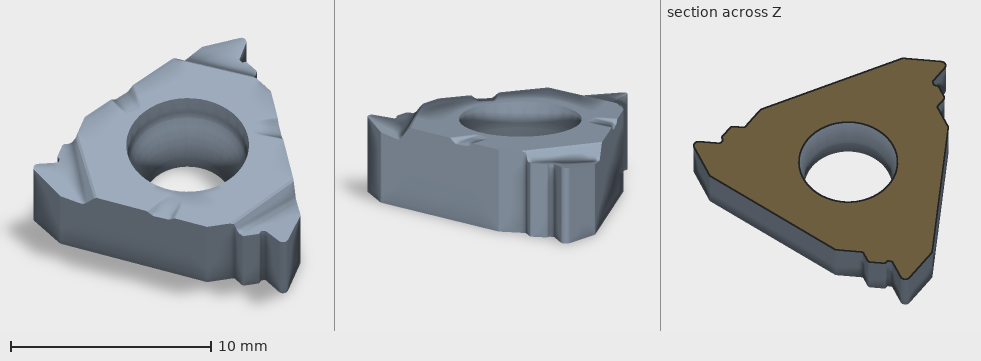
import math

import cadquery as cq

inradius = 9.525 / 2
thickness = 4.27
tip_count = 3
tip_pitch = 360 / tip_count

flank_angle = math.radians(60)
flank_tan = math.tan(flank_angle)
tip_crest_y = 6.905
outer_flank_reach = 6.675
crest_width = 0.31
relief_y = 5.87
shelf_y = 6.035
shelf_start_x = -2.49
shelf_end_x = -1.64
heel_y = 5.46

crest_radius = 0.26
relief_radius = 0.12
relief_lip_radius = 0.05
shelf_lip_radius = 0.13
shelf_radius = 0.15
heel_radius = 0.1
corner_radius = 0.2

mouth_radius = 3.07
step_radius = 2.97
step_depth = 1.0
seat_radius = 2.89
seat_depth = 1.28
bore_radius = 4.4 / 2
step_bulge = 0.01
bore_depth = 3.54

valley_x = 5.69
valley_depth = 0.61
rake_slope = 0.127
wall_angle = 55
wall_tan = math.tan(math.radians(wall_angle))
valley_radius = 0.3
groove_pitch = 4.5
groove_yaw = 1.2
groove_length = 12
groove_reach = 4
wall_break_width = 0.12
wall_break_depth = 0.08

notch_end = (-3.46, -0.565)
notch_yaw = -14
notch_ramp = 10
notch_floor_width = 0.83
notch_wall_angle = 38
notch_floor_radius = 0.28
notch_rim_radius = 0.2
notch_length = 2.5
notch_height = 0.8
edge_margin = 0.05


def turned(shape, turns):
    """The shape turned clockwise about the hole axis by a number of tip pitches."""
    return shape.rotate((0, 0, 0), (0, 0, 1), -tip_pitch * turns)


def tip_corners():
    """Corners (x, y, rounding radius) of one third of the outline, clockwise."""
    side_x = -inradius
    root_y = (outer_flank_reach - inradius * math.sin(flank_angle)) / math.cos(flank_angle)
    crest_left_x = side_x + (tip_crest_y - root_y) / flank_tan
    crest_right_x = crest_left_x + crest_width
    relief_left_x = crest_right_x + (tip_crest_y - relief_y) / flank_tan
    relief_right_x = shelf_start_x - (shelf_y - relief_y) / flank_tan
    heel_start_x = shelf_end_x + (shelf_y - heel_y) / flank_tan
    heel_end_x = 2 * inradius - heel_y * flank_tan
    return [
        (side_x, root_y, corner_radius),
        (crest_left_x, tip_crest_y, crest_radius),
        (crest_right_x, tip_crest_y, crest_radius),
        (relief_left_x, relief_y, relief_radius),
        (relief_right_x, relief_y, relief_lip_radius),
        (shelf_start_x, shelf_y, shelf_lip_radius),
        (shelf_end_x, shelf_y, shelf_radius),
        (heel_start_x, heel_y, heel_radius),
        (heel_end_x, heel_y, corner_radius),
    ]


def rounded_outline(corners):
    """Closed wire through the corners, each one rounded by its own tangent arc."""
    outline = None
    count = len(corners)
    for i in range(count):
        x, y, radius = corners[i]
        corner = cq.Vector(x, y)
        to_last = (cq.Vector(*corners[i - 1][:2]) - corner).normalized()
        to_next = (cq.Vector(*corners[(i + 1) % count][:2]) - corner).normalized()
        half_angle = to_last.getAngle(to_next) / 2
        setback = radius / math.tan(half_angle)
        arc_gap = radius / math.sin(half_angle) - radius
        arc_start = corner + to_last * setback
        arc_middle = corner + (to_last + to_next).normalized() * arc_gap
        arc_end = corner + to_next * setback
        if outline is None:
            outline = cq.Workplane("XY").moveTo(arc_start.x, arc_start.y)
        else:
            outline = outline.lineTo(arc_start.x, arc_start.y)
        outline = outline.threePointArc((arc_middle.x, arc_middle.y), (arc_end.x, arc_end.y))
    return outline.close()


def make_body():
    """Prism of the full outline."""
    corners = []
    for i in range(tip_count):
        turn = math.radians(-tip_pitch * i)
        for x, y, radius in tip_corners():
            turned_x = x * math.cos(turn) - y * math.sin(turn)
            turned_y = x * math.sin(turn) + y * math.cos(turn)
            corners.append((turned_x, turned_y, radius))
    return rounded_outline(corners).extrude(thickness)


def make_hole():
    """Revolved screw hole; the seat and the rounded step are arcs."""
    seat_angle = 2 * math.atan((seat_radius - bore_radius) / (bore_depth - seat_depth))
    flare_radius = (bore_depth - seat_depth) / math.sin(seat_angle)
    seat_middle = (
        bore_radius + flare_radius * (1 - math.cos(seat_angle / 2)),
        thickness - bore_depth + flare_radius * math.sin(seat_angle / 2),
    )
    step_middle = (
        (seat_radius + step_radius) / 2 + step_bulge,
        thickness - (seat_depth + step_depth) / 2 - step_bulge,
    )
    return (
        cq.Workplane("XZ")
        .lineTo(bore_radius, 0)
        .lineTo(bore_radius, thickness - bore_depth)
        .threePointArc(seat_middle, (seat_radius, thickness - seat_depth))
        .threePointArc(step_middle, (step_radius, thickness - step_depth))
        .lineTo(mouth_radius, thickness)
        .lineTo(0, thickness)
        .close()
        .revolve(360, (0, 0, 0), (0, 1, 0))
    )


def make_groove():
    """Chip groove cutter: wall on the inner side, rounded valley, rake plane outward."""
    headroom = 2 * valley_depth
    cutter = (
        cq.Workplane("XZ")
        .lineTo(groove_reach, groove_reach * rake_slope)
        .lineTo(groove_reach, headroom)
        .lineTo(-headroom / wall_tan, headroom)
        .close()
        .extrude(groove_length / 2, both=True)
        .edges(cq.NearestToPointSelector((0, 0, 0)))
        .fillet(valley_radius)
    )
    return (
        cutter
        .rotate((0, 0, 0), (1, 0, 0), -groove_pitch)
        .rotate((0, 0, 0), (0, 0, 1), -groove_yaw)
        .translate((valley_x, 0, thickness - valley_depth))
    )


def make_wall_break():
    """Narrow bevel along the top edge of the groove wall."""
    edge_x = valley_x - (valley_depth - wall_break_depth) / wall_tan - wall_break_width
    edge_lean = math.tan(math.radians(groove_pitch)) / wall_tan - math.tan(math.radians(groove_yaw))
    return (
        cq.Workplane("XZ")
        .lineTo(wall_break_width, -wall_break_depth)
        .lineTo(2 * wall_break_width, -wall_break_depth)
        .lineTo(2 * wall_break_width, wall_break_depth)
        .lineTo(0, wall_break_depth)
        .close()
        .extrude(groove_length / 2, both=True)
        .rotate((0, 0, 0), (0, 0, 1), math.degrees(math.atan(edge_lean)))
        .translate((edge_x, 0, thickness))
    )


def make_notch():
    """Trapezoid ramp cutter that falls from its inner edge toward -X."""
    half_floor = notch_floor_width / 2
    half_top = half_floor + notch_height / math.tan(math.radians(notch_wall_angle))
    return (
        cq.Workplane("YZ")
        .moveTo(-half_floor, 0)
        .lineTo(half_floor, 0)
        .lineTo(half_top, notch_height)
        .lineTo(-half_top, notch_height)
        .close()
        .extrude(-notch_length)
        .edges("|X and <Z")
        .fillet(notch_floor_radius)
        .rotate((0, 0, 0), (0, 1, 0), -notch_ramp)
        .rotate((0, 0, 0), (0, 0, 1), notch_yaw)
        .translate((*notch_end, thickness))
    )


def cut_notch(body):
    """Body with a notch in its -X side, the rim of the notch rounded."""
    notched = body.cut(make_notch())
    rim_box = cq.selectors.BoxSelector(
        (-inradius - edge_margin, -inradius / 2, thickness - edge_margin),
        (notch_end[0] + notch_floor_width / 2, inradius / 2, thickness + edge_margin),
        boundingbox=True,
    )
    return notched.faces(">Z").edges(rim_box).fillet(notch_rim_radius)


result = make_body().cut(make_hole())
for _ in range(tip_count):
    result = turned(cut_notch(result), 1)
for cutter in (make_groove(), make_wall_break()):
    for i in range(tip_count):
        result = result.cut(turned(cutter, i))